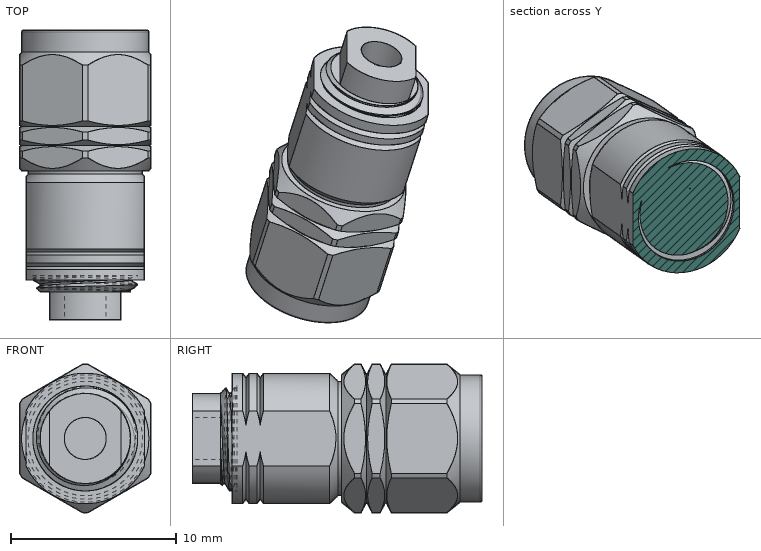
import cadquery as cq
import math

overall_length = 17.53

collar_radius = 3.85
collar_fillet = 0.12
collar_end = 1.335

hex_sides = 6
hex_across_flats = 7.94
nut_radius = 8.99 / 2
nut_end = 8.515
nut_end_cone_length = 0.79
nut_groove_radius = 3.85
nut_groove_half_width = 0.335
nut_groove_stations = (5.83, 6.99)

neck_radius = 3.46
neck_end = 8.72

body_radius = 3.95
body_across_flats = 7.16
body_end = 15.125
body_cone_length = 0.5
body_groove_radius = 3.67
body_groove_half_width = 0.196
body_groove_stations = (13.425, 14.288)

thread_radius = 6.35 / 2
thread_pitch = 25.4 / 36
thread_depth = 0.6134 * thread_pitch
thread_root_radius = thread_radius - thread_depth
thread_end_radius = 2.725
thread_end = 15.84
thread_crest_station = 15.425
thread_flank_angle = 30
thread_crest_flat = thread_pitch / 8
thread_turns = 4
thread_embed = 0.4 * thread_pitch
thread_lead_in_turns = 2
thread_overcut = 0.05

boss_radius = thread_end_radius
boss_across_flats = 4.3
bore_radius = 1.27
bore_depth = overall_length - thread_end


def revolve_profile(points):
    """Revolve (radius, station) points about the part axis, closed along the axis."""
    closed = [(0, points[0][1])] + points + [(0, points[-1][1])]
    profile = cq.Workplane("XY").polyline([(r, -s) for r, s in closed]).close()
    return profile.revolve(360, (0, 0, 0), (0, 1, 0))


def cylinder(radius, start, end):
    return cq.Workplane("XZ", origin=(0, -start, 0)).circle(radius).extrude(end - start)


def v_groove(station, half_width, outer_radius, bottom_radius):
    """Profile points of a V groove turned into a cylinder."""
    return [
        (outer_radius, station - half_width),
        (bottom_radius, station),
        (outer_radius, station + half_width),
    ]


def trim_to_flats(solid, across_flats):
    """Keep the part of the solid between two planes facing -X and +X."""
    slab = cq.Workplane("XY").box(across_flats, 2 * overall_length, 4 * nut_radius)
    return solid.intersect(slab)


def make_collar():
    return cylinder(collar_radius, 0, collar_end).faces(">Y").edges().fillet(collar_fillet)


def make_nut():
    points = [(collar_radius, collar_end), (nut_radius, collar_end + nut_end_cone_length)]
    for station in nut_groove_stations:
        points += v_groove(station, nut_groove_half_width, nut_radius, nut_groove_radius)
    points += [(nut_radius, nut_end - nut_end_cone_length), (collar_radius, nut_end)]
    half_corner_angle = 180 / hex_sides
    hex_across_corners = hex_across_flats / math.cos(math.radians(half_corner_angle))
    hexagon = (
        cq.Workplane("XZ")
        .transformed(rotate=(0, 0, half_corner_angle))
        .polygon(hex_sides, hex_across_corners)
        .extrude(overall_length)
    )
    return revolve_profile(points).intersect(hexagon)


def make_body():
    points = [(neck_radius, neck_end), (body_radius, neck_end + body_cone_length)]
    for station in body_groove_stations:
        points += v_groove(station, body_groove_half_width, body_radius, body_groove_radius)
    points.append((body_radius, body_end))
    socket = cylinder(thread_radius, body_end - thread_embed, body_end)
    return trim_to_flats(revolve_profile(points), body_across_flats).cut(socket)


def make_thread():
    chamfer = thread_radius - thread_end_radius
    blank = revolve_profile([
        (thread_radius, body_end - thread_embed),
        (thread_radius, thread_end - chamfer),
        (thread_end_radius, thread_end),
    ])

    start = thread_crest_station + (1 / 2 - 1 / 4 - thread_lead_in_turns) * thread_pitch
    helix = cq.Wire.makeHelix(
        thread_pitch,
        thread_turns * thread_pitch,
        thread_root_radius,
        center=cq.Vector(0, -start, 0),
        dir=cq.Vector(0, -1, 0),
    )

    flank_slope = math.tan(math.radians(thread_flank_angle))
    outer_radius = thread_radius + thread_overcut
    half_crest_gap = (thread_pitch - thread_crest_flat) / 2
    half_root = half_crest_gap - thread_depth * flank_slope
    half_mouth = half_crest_gap + thread_overcut * flank_slope
    groove = (
        cq.Workplane("YZ")
        .polyline([
            (-start - half_root, -thread_root_radius),
            (-start + half_root, -thread_root_radius),
            (-start + half_mouth, -outer_radius),
            (-start - half_mouth, -outer_radius),
        ])
        .close()
        .sweep(cq.Workplane(obj=helix), isFrenet=True)
    )
    return blank.cut(groove)


def make_boss():
    boss = trim_to_flats(cylinder(boss_radius, thread_end, overall_length), boss_across_flats)
    return boss.faces("<Y").workplane(centerOption="CenterOfBoundBox").hole(2 * bore_radius, bore_depth)


neck = cylinder(neck_radius, nut_end, neck_end)
result = (
    make_collar()
    .union(make_nut())
    .union(neck)
    .union(make_body())
    .union(make_thread())
    .union(make_boss())
)